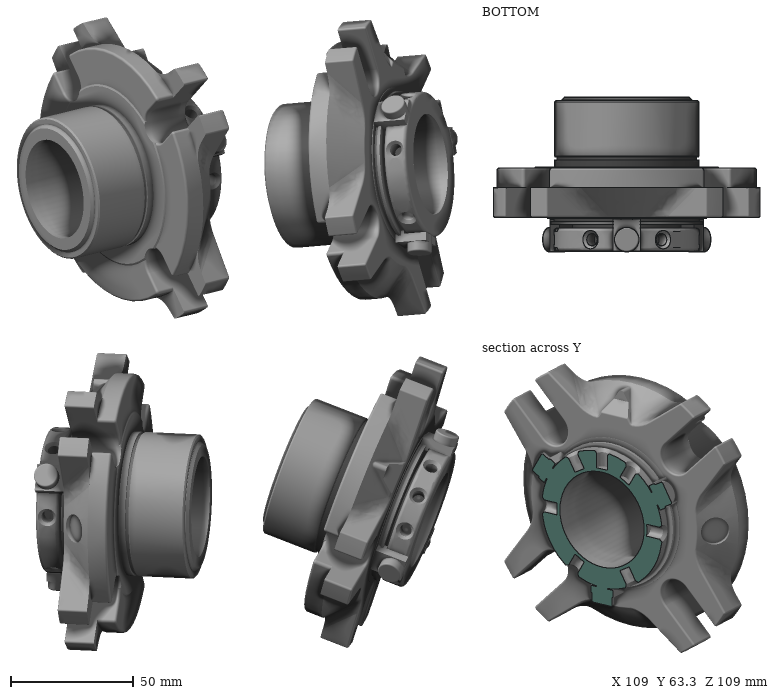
import cadquery as cq
import math

TOTAL_LENGTH = 63.31
SLEEVE_FRONT = -29.0
NOSE_LENGTH = 1.4
GROOVE_FRONT = -4.55
GROOVE_BACK = -3.2
PAD_HEIGHT = 0.4
DISC_BACK = 8.0
EAR_BACK = 20.3
BOSS_BACK = 20.6
BASE_BACK = 21.9
WASHER_BACK = 23.2
COLLAR_FRONT = 24.5
COLLAR_BACK = 34.1

BORE_DIAMETER = 41.27
SLEEVE_DIAMETER = 59.05
GROOVE_DIAMETER = 57.15
NOSE_DIAMETER = 53.4
NOSE_CHAMFER = 1.3
SLEEVE_EDGE_CHAMFER = 0.6
GROOVE_BEVEL_LENGTH = 0.4
GROOVE_BEVEL_DEPTH = 0.2
SLEEVE_CORE_DIAMETER = 44.42
COLLAR_DIAMETER = 59.6
COLLAR_EDGE_RADIUS = 1.5
PAD_DIAMETER = 75.8
PAD_TAPER = 0.75
DISC_DIAMETER = 106.1
EDGE_RADIUS = 1.0
DISC_CORNER_RADIUS = 1.2
BOSS_DIAMETER = 65.0
BASE_DIAMETER = 59.6
WASHER_DIAMETER = 61.82

SLOT_COUNT = 4
SLOT_FIRST_ANGLE = 45.0
SLOT_WIDTH = 14.2
SLOT_END_CENTRE = 42.7
EAR_TIP_RADIUS = 63.62
EAR_ROOT_RADIUS = 36.0
EAR_TIP_HALF_WIDTH = 15.6
EAR_FLARE_ANGLE = 9.0
EAR_CORNER_RADIUS = 0.8
EAR_BLEND_RADIUS = 6.5
BACK_EDGE_RADIUS = 0.8

PORT_DIAMETER = 11.79
PORT_DEPTH = 2.1
PORT_STATION = 14.9
POINTER_NOSE_DIAMETER = 3.01
POINTER_HALF_ANGLE = 33.0
POINTER_HEIGHT = 51.8
POINTER_NOSE_BACK = 15.2
POINTER_SHELF_HEIGHT = 47.6
POINTER_ROOT_HEIGHT = 36.0
POINTER_ROOT_RADIUS = 0.5
POINTER_ROOT_REACH = 7.0

CLIP_ANGLES = (30.0, 150.0, 270.0)
CLIP_WIDTH = 11.2
CLIP_INNER = 29.7
CLIP_OUTER = 33.1
CLIP_FRONT = 20.9
CLIP_TONGUE_INNER = 28.4
HEAD_DIAMETER = 10.0
HEAD_OUTER = 37.1
HEAD_EDGE_RADIUS = 0.6
SCREW_HOLE_ANGLES = (0.0, 60.0, 90.0, 120.0, 180.0, 240.0, 300.0)
SCREW_HOLE_DIAMETER = 5.0
SCREW_SINK_DIAMETER = 7.6
SCREW_SINK_DEPTH = 1.4
DRIVER_SLOT_WIDTH = 0.7
DRIVER_SLOT_DEPTH = 0.5
DRIVER_SLOT_ANGLE = 180.0

HEAD_STATION = SLEEVE_FRONT + TOTAL_LENGTH - HEAD_DIAMETER / 2
DISC_RADIUS = DISC_DIAMETER / 2
CONE_BACK_RADIUS = DISC_RADIUS - (EAR_BACK - DISC_BACK)

CUT_CLEARANCE = 1.0
CORNER_SEARCH_DEPTH = 1.0
RIM_SEARCH_DEPTH = 1.0
BLEND_CENTRE_MARGIN = 2.0
BLEND_MIN_RUN = 5.0
CONE_TOLERANCE = 0.01
FRONT_RIM_MARGIN = 0.1
BACK_RIM_MARGIN = 0.1


def turned(points):
    """Solid of revolution about Y from (radius, station) points."""
    return cq.Workplane("XY").polyline(points).close().revolve(360, (0, 0, 0), (0, 1, 0))


def ring(diameter, front, back):
    """Plain cylinder on the Y axis."""
    radius = diameter / 2
    return turned([(0, front), (radius, front), (radius, back), (0, back)])


def turn(shape, angle):
    """Turn a shape built along +X to an angle measured from +X toward +Z."""
    return shape.rotate((0, 0, 0), (0, 1, 0), -angle)


def slot_angles():
    """Directions of the ears and their bolt slots."""
    return [SLOT_FIRST_ANGLE + i * 360.0 / SLOT_COUNT for i in range(SLOT_COUNT)]


def extrude_along_y(sketch, front, back):
    """Extrude a closed X-Z outline between two Y stations."""
    return sketch.extrude(-(back - front)).translate((0, front, 0))


def cone_back():
    """45 degree cone that carries the ears."""
    return turned([
        (0, DISC_BACK),
        (DISC_RADIUS, DISC_BACK),
        (CONE_BACK_RADIUS, EAR_BACK),
        (0, EAR_BACK),
    ])


def ear():
    """One ear around +X, bounded by flared sides and a round tip."""
    tip_x = math.sqrt(EAR_TIP_RADIUS ** 2 - EAR_TIP_HALF_WIDTH ** 2)
    root_half = EAR_TIP_HALF_WIDTH + (tip_x - EAR_ROOT_RADIUS) * math.tan(math.radians(EAR_FLARE_ANGLE))
    outline = (
        cq.Workplane("XZ")
        .moveTo(EAR_ROOT_RADIUS, -root_half)
        .lineTo(tip_x, -EAR_TIP_HALF_WIDTH)
        .threePointArc((EAR_TIP_RADIUS, 0), (tip_x, EAR_TIP_HALF_WIDTH))
        .lineTo(EAR_ROOT_RADIUS, root_half)
        .close()
    )
    return extrude_along_y(outline, DISC_BACK, EAR_BACK)


def ear_blend_edges(body):
    """Slanted edges where the ear sides meet the cone."""
    highest_centre = (DISC_BACK + EAR_BACK) / 2 + BLEND_CENTRE_MARGIN

    def is_slanted(edge):
        box = edge.BoundingBox()
        starts_at_disc = box.ymin < DISC_BACK + RIM_SEARCH_DEPTH
        ends_at_back = box.ymax > EAR_BACK - RIM_SEARCH_DEPTH
        runs_across = max(box.xlen, box.zlen) > BLEND_MIN_RUN
        return starts_at_disc and ends_at_back and runs_across and edge.Center().y < highest_centre

    return [edge for edge in body.edges().vals() if is_slanted(edge)]


def slot_cutter():
    """Bolt slot around +X, open outward with a round inner end."""
    half = SLOT_WIDTH / 2
    outline = (
        cq.Workplane("XZ")
        .moveTo(EAR_TIP_RADIUS + CUT_CLEARANCE, half)
        .lineTo(SLOT_END_CENTRE, half)
        .threePointArc((SLOT_END_CENTRE - half, 0), (SLOT_END_CENTRE, -half))
        .lineTo(EAR_TIP_RADIUS + CUT_CLEARANCE, -half)
        .close()
    )
    return extrude_along_y(outline, -CUT_CLEARANCE, EAR_BACK + CUT_CLEARANCE)


def cut_slots(body):
    """Cut all bolt slots through a body."""
    for angle in slot_angles():
        body = body.cut(turn(slot_cutter(), angle))
    return body


def outer_corners(body, radius):
    """Edges parallel to Y that lie farther out than a radius."""
    return [
        edge for edge in body.edges("|Y").vals()
        if math.hypot(edge.Center().x, edge.Center().z) > radius
    ]


def front_disc():
    """Slotted front disc with rounded corners and front edges."""
    disc = cut_slots(ring(DISC_DIAMETER, 0, DISC_BACK))
    disc = disc.newObject(outer_corners(disc, DISC_RADIUS - CORNER_SEARCH_DEPTH)).fillet(DISC_CORNER_RADIUS)
    return disc.faces("<Y").edges().fillet(EDGE_RADIUS)


def eared_back():
    """Conical back with blended, slotted ears, the pointer and rounded back edges."""
    body = cone_back()
    for angle in slot_angles():
        body = body.union(turn(ear(), angle))
    body = body.newObject(ear_blend_edges(body)).fillet(EAR_BLEND_RADIUS)
    body = cut_slots(body)
    body = body.newObject(outer_corners(body, EAR_TIP_RADIUS - CORNER_SEARCH_DEPTH)).fillet(EAR_CORNER_RADIUS)
    body = body.union(pointer())
    body = body.newObject(pointer_root_edges(body)).fillet(POINTER_ROOT_RADIUS)
    return body.faces(">Y").edges().fillet(BACK_EDGE_RADIUS)


def gland():
    """Complete gland with its raised front pad and back boss."""
    pad = turned([
        (0, -PAD_HEIGHT),
        (PAD_DIAMETER / 2 - PAD_TAPER, -PAD_HEIGHT),
        (PAD_DIAMETER / 2, 0),
        (PAD_DIAMETER / 2, EDGE_RADIUS),
        (0, EDGE_RADIUS),
    ])
    body = front_disc().union(eared_back()).union(cut_slots(pad))
    return body.union(ring(BOSS_DIAMETER, DISC_BACK, BOSS_BACK))


def port_cutter():
    """Shallow flat-bottomed port square to the cone on the -X side."""
    radius = DISC_RADIUS - (PORT_STATION - DISC_BACK)
    return (
        cq.Workplane(cq.Plane((-radius, PORT_STATION, 0), (0, 0, 1), (-1, 1, 0)))
        .circle(PORT_DIAMETER / 2)
        .extrude(PORT_DIAMETER)
        .translate((PORT_DEPTH / math.sqrt(2), -PORT_DEPTH / math.sqrt(2), 0))
    )


def pointer():
    """V-shaped ridge with a round nose on +Z, stepping down to a sloped shelf behind."""
    half_angle = math.radians(POINTER_HALF_ANGLE)
    nose_radius = POINTER_NOSE_DIAMETER / 2
    nose_centre = POINTER_HEIGHT - nose_radius
    tangent_x = nose_radius * math.cos(half_angle)
    tangent_z = nose_centre + nose_radius * math.sin(half_angle)
    root_x = tangent_x + (tangent_z - POINTER_ROOT_HEIGHT) * math.tan(half_angle)
    section = (
        cq.Workplane("XZ")
        .moveTo(-root_x, POINTER_ROOT_HEIGHT)
        .lineTo(-tangent_x, tangent_z)
        .threePointArc((0, POINTER_HEIGHT), (tangent_x, tangent_z))
        .lineTo(root_x, POINTER_ROOT_HEIGHT)
        .close()
    )
    ridge = extrude_along_y(section, DISC_BACK, EAR_BACK)
    shelf_drop = EAR_BACK - POINTER_NOSE_BACK
    side_profile = [
        (DISC_BACK, POINTER_ROOT_HEIGHT),
        (DISC_BACK, POINTER_HEIGHT),
        (POINTER_NOSE_BACK, POINTER_HEIGHT),
        (POINTER_NOSE_BACK, POINTER_SHELF_HEIGHT),
        (EAR_BACK, POINTER_SHELF_HEIGHT - shelf_drop),
        (EAR_BACK, POINTER_ROOT_HEIGHT),
    ]
    envelope = cq.Workplane("YZ").polyline(side_profile).close().extrude(root_x, both=True)
    return ridge.intersect(envelope)


def pointer_root_edges(body):
    """Edges where the pointer's sides and nose run into the cone."""
    def is_root(edge):
        middle = edge.positionAt(0.5)
        cone_radius = DISC_RADIUS - (middle.y - DISC_BACK)
        on_cone = abs(math.hypot(middle.x, middle.z) - cone_radius) < CONE_TOLERANCE
        between_rims = DISC_BACK + FRONT_RIM_MARGIN < middle.y < EAR_BACK - BACK_RIM_MARGIN
        return on_cone and between_rims and abs(middle.x) < POINTER_ROOT_REACH and middle.z > 0

    return [edge for edge in body.edges().vals() if is_root(edge)]


def sleeve():
    """Front sleeve with a chamfered nose and a groove, plus its core to the back."""
    radius = SLEEVE_DIAMETER / 2
    shoulder = SLEEVE_FRONT + NOSE_LENGTH
    front = turned([
        (0, SLEEVE_FRONT),
        (NOSE_DIAMETER / 2 - NOSE_CHAMFER, SLEEVE_FRONT),
        (NOSE_DIAMETER / 2, SLEEVE_FRONT + NOSE_CHAMFER),
        (NOSE_DIAMETER / 2, shoulder),
        (radius - SLEEVE_EDGE_CHAMFER, shoulder),
        (radius, shoulder + SLEEVE_EDGE_CHAMFER),
        (radius, GROOVE_FRONT - GROOVE_BEVEL_LENGTH),
        (radius - GROOVE_BEVEL_DEPTH, GROOVE_FRONT),
        (GROOVE_DIAMETER / 2, GROOVE_FRONT),
        (GROOVE_DIAMETER / 2, GROOVE_BACK),
        (radius, GROOVE_BACK),
        (radius, 0),
        (0, 0),
    ])
    return front.union(ring(SLEEVE_CORE_DIAMETER, 0, COLLAR_BACK))


def screw_hole_cutter():
    """Countersunk radial hole in the collar along +X, down to the sleeve."""
    outer = COLLAR_DIAMETER / 2
    hole_radius = SCREW_HOLE_DIAMETER / 2
    profile = [
        (SLEEVE_CORE_DIAMETER / 2, 0),
        (SLEEVE_CORE_DIAMETER / 2, hole_radius),
        (outer - SCREW_SINK_DEPTH, hole_radius),
        (outer, SCREW_SINK_DIAMETER / 2),
        (outer + CUT_CLEARANCE, SCREW_SINK_DIAMETER / 2),
        (outer + CUT_CLEARANCE, 0),
    ]
    hole = cq.Workplane("XY").polyline(profile).close().revolve(360, (0, 0, 0), (1, 0, 0))
    return hole.translate((0, HEAD_STATION, 0))


def driver_slot_cutter():
    """Narrow slot across the bottom of a screw hole."""
    return cq.Workplane("XY").box(2 * DRIVER_SLOT_DEPTH, DRIVER_SLOT_WIDTH, SCREW_HOLE_DIAMETER).translate(
        (SLEEVE_CORE_DIAMETER / 2, HEAD_STATION, 0)
    )


def collar():
    """Drive collar with rounded rims and radial screw holes."""
    body = ring(COLLAR_DIAMETER, COLLAR_FRONT, COLLAR_BACK).edges().fillet(COLLAR_EDGE_RADIUS)
    for angle in SCREW_HOLE_ANGLES:
        body = body.cut(turn(screw_hole_cutter(), angle))
    return body.cut(turn(driver_slot_cutter(), DRIVER_SLOT_ANGLE))


def clip():
    """Setting clip on +X: plate, tongue in the collar gap and screw head."""
    plate = cq.Workplane("XY").box(
        CLIP_OUTER - CLIP_INNER, COLLAR_BACK - CLIP_FRONT, CLIP_WIDTH, centered=(False, False, True)
    ).translate((CLIP_INNER, CLIP_FRONT, 0))
    tongue = cq.Workplane("XY").box(
        CLIP_INNER - CLIP_TONGUE_INNER, COLLAR_FRONT - WASHER_BACK, CLIP_WIDTH, centered=(False, False, True)
    ).translate((CLIP_TONGUE_INNER, WASHER_BACK, 0))
    head = (
        cq.Workplane("YZ", origin=(CLIP_INNER, HEAD_STATION, 0))
        .circle(HEAD_DIAMETER / 2)
        .extrude(HEAD_OUTER - CLIP_INNER)
        .faces(">X").edges().fillet(HEAD_EDGE_RADIUS)
    )
    return plate.union(tongue).union(head)


def assemble():
    """Join the gland, sleeve, collar and clips, then bore them through."""
    body = gland().cut(port_cutter()).union(sleeve())
    body = body.union(ring(BASE_DIAMETER, DISC_BACK, BASE_BACK))
    body = body.union(ring(WASHER_DIAMETER, BASE_BACK, WASHER_BACK))
    body = body.union(collar())
    for angle in CLIP_ANGLES:
        body = body.union(turn(clip(), angle))
    return body.cut(ring(BORE_DIAMETER, SLEEVE_FRONT - CUT_CLEARANCE, COLLAR_BACK + CUT_CLEARANCE))


result = assemble()